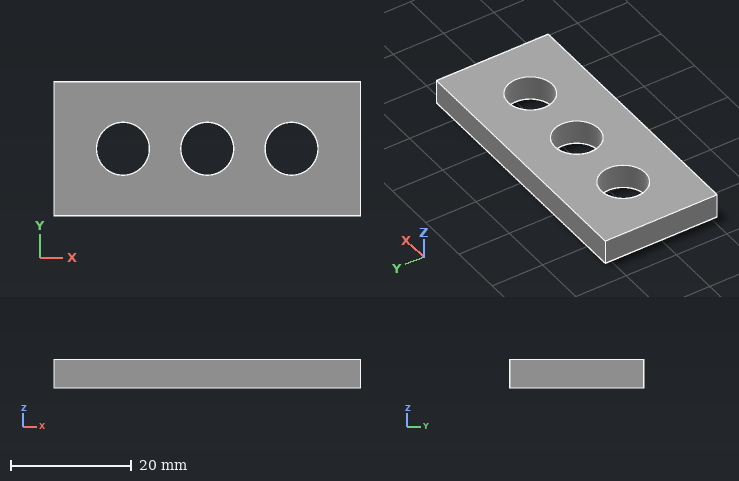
import cadquery as cq

plate_length = 50.8
plate_width = 22.225
plate_thickness = 4.75

hole_count = 3
hole_diameter = 8.73
hole_spacing = 13.97


def make_plate():
    """Flat rectangular plate centred on the origin."""
    return cq.Workplane("XY").box(plate_length, plate_width, plate_thickness)


def drill_hole_row(plate):
    """Drill the evenly spaced holes from the top face through the plate."""
    return (
        plate.faces(">Z")
        .workplane()
        .rarray(hole_spacing, plate_width, hole_count, 1)
        .hole(hole_diameter)
    )


result = drill_hole_row(make_plate())